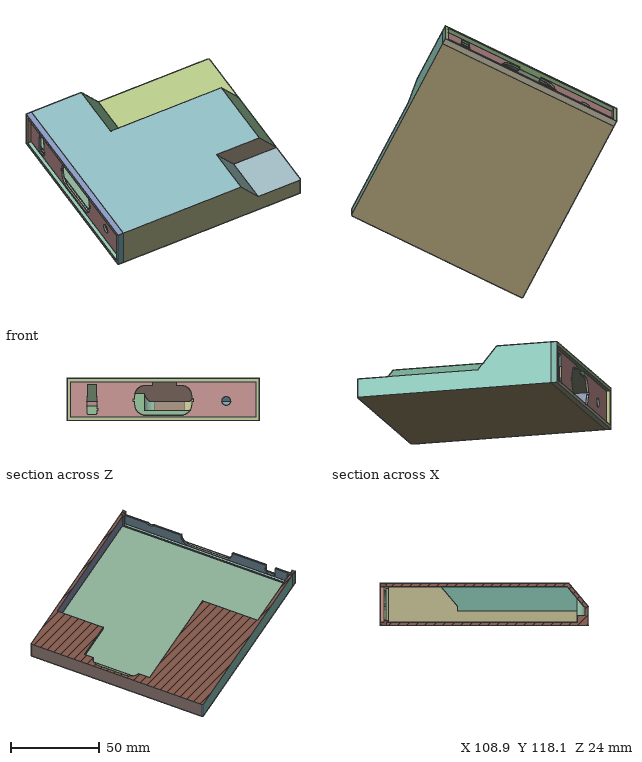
import cadquery as cq
import math

WIDTH = 108.9
LENGTH = 118.1
HEIGHT = 24.0
WALL = 2.0
OVERCUT = 1.2

CAP_DEPTH = 3.4
RECESS_DEPTH = 2.2
LIP_LENGTH = 1.4
LIP_THICKNESS = 1.0
CAP_REAR_Y = CAP_DEPTH + LIP_LENGTH

LEDGE_Z = 10.7
RAMP_RUN = 11.1
LEFT_STEP_X = 34.8
RIGHT_STEP_X = 79.8
LEFT_FOOT_Y = 46.7
RIGHT_FOOT_Y = 90.5
LEDGE_THICKNESS = 2.5
BACK_WALL = 6.4
REAR_CORNER_RADIUS = 1.0

RAMP_ANGLE = math.atan2(HEIGHT - LEDGE_Z, RAMP_RUN)
RAMP_SHIFT_Y = WALL / math.sin(RAMP_ANGLE)
CEILING_Z = HEIGHT - WALL
SIDE_CEILING_Z = LEDGE_Z - LEDGE_THICKNESS

POCKET_CENTER_X = 58.1
POCKET_WIDTH = 29.0
POCKET_FLOOR_Z = 5.8
POCKET_RADIUS = 6.0
POCKET_BACK_Y = LENGTH - WALL

OPENING_WIDTH = 32.4
OPENING_BOTTOM_Z = 3.1
OPENING_HEIGHT = 16.9
OPENING_RADIUS = 6.0
KEY_SLOT_CENTER_X = 55.2
KEY_SLOT_WIDTH = 13.5
NOTCH_DEPTH = 1.0
NOTCH_HEIGHT = 1.5

SLOT_CENTER_X = 14.0
SLOT_WIDTH = 5.8
SLOT_NECK_WIDTH = 5.0
SLOT_BOTTOM_Z = 3.4
SLOT_SHOULDER_Z = 13.7
SLOT_TOP_Z = 20.4
SLOT_CORNER_RADIUS = 1.1
SLOT_NICK_DEPTH = 0.6
SLOT_NICK_BOTTOM_Z = 5.7
SLOT_NICK_HEIGHT = 1.3

HOLE_DIAMETER = 5.0
HOLE_X = 90.1
HOLE_Z = 11.1


def box(x_range, y_range, z_range):
    """Box between two limits along each axis."""
    size = [high - low for low, high in (x_range, y_range, z_range)]
    corner = (x_range[0], y_range[0], z_range[0])
    return cq.Workplane("XY").box(*size, centered=False).translate(corner)


def side_profile(x_range, points):
    """Extrude a closed (y, z) outline across a range of x."""
    width = x_range[1] - x_range[0]
    return cq.Workplane("YZ", origin=(x_range[0], 0, 0)).polyline(points).close().extrude(width)


def space_above_ledge(x_range, foot_y):
    """Space over a ramp and the ledge behind it; the ramp starts down one run ahead of its foot."""
    return side_profile(x_range, [
        (foot_y - RAMP_RUN, HEIGHT),
        (foot_y, LEDGE_Z),
        (LENGTH + OVERCUT, LEDGE_Z),
        (LENGTH + OVERCUT, HEIGHT),
    ])


def space_under_roof(x_range, foot_y, rear_ceiling_z, back_y):
    """Hollow under the roof, the ramp and the lower ceiling behind the ramp."""
    inner_foot_y = foot_y - RAMP_SHIFT_Y
    inner_run = RAMP_RUN * (CEILING_Z - LEDGE_Z) / (HEIGHT - LEDGE_Z)
    points = [
        (CAP_DEPTH, WALL),
        (back_y, WALL),
        (back_y, rear_ceiling_z),
        (inner_foot_y, rear_ceiling_z),
    ]
    if rear_ceiling_z < LEDGE_Z:
        points.append((inner_foot_y, LEDGE_Z))
    points += [
        (inner_foot_y - inner_run, CEILING_Z),
        (CAP_DEPTH, CEILING_Z),
    ]
    return side_profile(x_range, points)


def make_middle_hollow(inner_back_y):
    """Middle bay up to the back wall, plus the pocket sunk into that wall."""
    bay_x = (LEFT_STEP_X + WALL, RIGHT_STEP_X - WALL)
    hollow = space_under_roof(bay_x, LENGTH, LEDGE_Z, POCKET_BACK_Y)
    pocket_half = POCKET_WIDTH / 2
    pocket_front_y = inner_back_y - 2 * POCKET_RADIUS
    pocket = box(
        (POCKET_CENTER_X - pocket_half, POCKET_CENTER_X + pocket_half),
        (pocket_front_y, POCKET_BACK_Y),
        (POCKET_FLOOR_Z, CEILING_Z),
    ).edges("|Z and >Y").fillet(POCKET_RADIUS)
    bay = box(bay_x, (CAP_DEPTH, inner_back_y), (WALL, CEILING_Z))
    return hollow.intersect(bay.union(pocket))


def make_housing():
    """Hollow stepped housing, open at the front where the cap closes it."""
    inner_back_y = LENGTH - BACK_WALL
    body = box((0, WIDTH), (CAP_DEPTH, LENGTH), (0, HEIGHT))

    body = body.cut(space_above_ledge((0, LEFT_STEP_X), LEFT_FOOT_Y))
    body = body.cut(space_above_ledge((RIGHT_STEP_X, WIDTH), RIGHT_FOOT_Y))
    body = body.cut(space_above_ledge((0, WIDTH), LENGTH))
    body = body.edges("|Z and >Y").fillet(REAR_CORNER_RADIUS)

    left_x = (WALL, LEFT_STEP_X + WALL)
    right_x = (RIGHT_STEP_X - WALL, WIDTH - WALL)
    body = body.cut(space_under_roof(left_x, LEFT_FOOT_Y, SIDE_CEILING_Z, inner_back_y))
    body = body.cut(space_under_roof(right_x, RIGHT_FOOT_Y, SIDE_CEILING_Z, inner_back_y))
    return body.cut(make_middle_hollow(inner_back_y))


def through_cap(x_center, width, bottom_z, height):
    """Rectangular cutter through the plate and the lip of the cap."""
    x_range = (x_center - width / 2, x_center + width / 2)
    return box(x_range, (0, CAP_REAR_Y), (bottom_z, bottom_z + height))


def make_opening():
    """Round-cornered opening with its key slot and side notches."""
    center_x = WIDTH / 2
    opening = through_cap(center_x, OPENING_WIDTH, OPENING_BOTTOM_Z, OPENING_HEIGHT)
    opening = opening.edges("|Y").fillet(OPENING_RADIUS)
    middle_z = OPENING_BOTTOM_Z + OPENING_HEIGHT / 2
    key_slot = through_cap(KEY_SLOT_CENTER_X, KEY_SLOT_WIDTH, middle_z, CEILING_Z - middle_z)
    notches_width = OPENING_WIDTH + 2 * NOTCH_DEPTH
    notches = through_cap(center_x, notches_width, middle_z - NOTCH_HEIGHT / 2, NOTCH_HEIGHT)
    return opening.union(key_slot).union(notches)


def make_slot():
    """Tall slot with a narrower neck and a small nick on its right side."""
    slot = through_cap(SLOT_CENTER_X, SLOT_WIDTH, SLOT_BOTTOM_Z, SLOT_SHOULDER_Z - SLOT_BOTTOM_Z)
    slot = slot.faces("<Z").edges("|Y").fillet(SLOT_CORNER_RADIUS)
    neck = through_cap(SLOT_CENTER_X, SLOT_NECK_WIDTH, SLOT_SHOULDER_Z, SLOT_TOP_Z - SLOT_SHOULDER_Z)
    nick = box(
        (SLOT_CENTER_X, SLOT_CENTER_X + SLOT_WIDTH / 2 + SLOT_NICK_DEPTH),
        (0, CAP_REAR_Y),
        (SLOT_NICK_BOTTOM_Z, SLOT_NICK_BOTTOM_Z + SLOT_NICK_HEIGHT),
    )
    return slot.union(neck).union(nick)


def make_lip():
    """Rectangular ring behind the plate that fits against the inside of the housing walls."""
    lip_y = (CAP_DEPTH, CAP_REAR_Y)
    inset = WALL + LIP_THICKNESS
    outer = box((WALL, WIDTH - WALL), lip_y, (WALL, CEILING_Z))
    inner = box((inset, WIDTH - inset), lip_y, (inset, HEIGHT - inset))
    return outer.cut(inner)


def make_cap():
    """Front cap: rim around a recessed plate that carries the cut-outs, and a lip behind it."""
    cap = box((0, WIDTH), (0, CAP_DEPTH), (0, HEIGHT))
    cap = cap.cut(box((WALL, WIDTH - WALL), (0, RECESS_DEPTH), (WALL, CEILING_Z)))
    cap = cap.union(make_lip())
    hole = cq.Workplane("XZ", origin=(HOLE_X, 0, HOLE_Z)).circle(HOLE_DIAMETER / 2).extrude(-CAP_REAR_Y)
    for cutter in (make_opening(), make_slot(), hole):
        cap = cap.cut(cutter)
    return cap


housing = make_housing()
cap = make_cap()

result = cq.Compound.makeCompound([housing.solids().val(), cap.solids().val()])